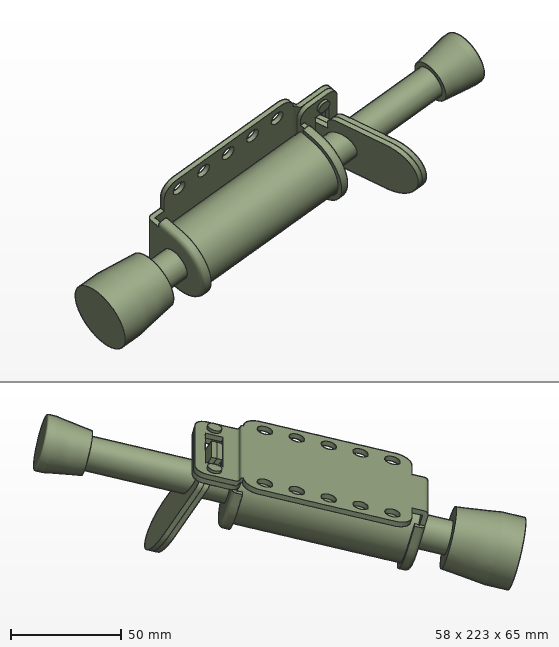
import cadquery as cq
import math


sheet = 2.5
bend_radius = 2.2
tube_radius = 16.0
axis_x = 19.0
rod_radius = 8.0

overall_length = 223.0
foot_radius = 17.0
foot_top_radius = 14.5
foot_rim_height = 11.0
foot_height = 32.0
head_radius = 13.2
head_neck_radius = 10.5
head_height = 21.6
head_rim_height = 4.2
head_round = 1.0

plate_bottom = 54.0
plate_top = 133.0
plate_width = 65.0
plate_corner = 7.8
hole_diameter = 7.1
hole_count = 5
hole_pitch = 15.0
hole_row_spacing = 50.2
hole_middle_y = 93.0

front_flange_radius = 18.7
rear_flange_radius = 19.0
rim_depth = 5.0
neck_width = 2 * tube_radius
front_face_y = 46.0
rear_face_y = 135.1
front_rim_start = 3 * sheet
rear_rim_start = 11.5

tab_width = 50.0
tab_corner = 5.8
tab_top = 155.0
jog_length = 2.7
rivet_radius = 3.3
rivet_head = 1.3
rivet_y = 146.0
rivet_spacing = 38.4
slot_bottom = 141.8
slot_top = 150.0
slot_width = 27.7

lever_count = 2
lever_thickness = 2.5
lever_tilt = 16.6
lever_end_x = 58.0
lever_width = 32.0
shoulder_x = 11.8
shoulder_round = 4.5
shank_width = 15.5
lever_root_y = 144.7

front_web_y = front_face_y + sheet
rear_web_y = rear_face_y - sheet
base_tab_x = sheet
guide_tab_x = 2 * sheet
tab_stack_end = 3 * sheet


def box(x_min, x_max, y_min, y_max, width):
    """Block between two X and two Y values, centred on Z = 0."""
    return (
        cq.Workplane("XY")
        .box(x_max - x_min, y_max - y_min, width, centered=(False, False, True))
        .translate((x_min, y_min, 0))
    )


def rod_along_y(radius, y_min, y_max):
    """Cylinder on the rod axis."""
    return (
        cq.Workplane("XZ", origin=(axis_x, y_min, 0))
        .circle(radius)
        .extrude(y_min - y_max)
    )


def rivet_shafts(x_min, x_max):
    """Pair of cylinders along X at the rivet places, for the rivets and their holes."""
    return (
        cq.Workplane("YZ", origin=(x_min, rivet_y, 0))
        .pushPoints([(0, -rivet_spacing / 2), (0, rivet_spacing / 2)])
        .circle(rivet_radius)
        .extrude(x_max - x_min)
    )


def lever_slot():
    return box(0, tab_stack_end, slot_bottom, slot_top, slot_width)


def d_block(start_x, radius, depth):
    """D-shaped block from Y = 0 to Y = depth: flat side at start_x, round side on the axis."""
    return (
        cq.Workplane("XZ")
        .moveTo(start_x, -radius)
        .lineTo(axis_x, -radius)
        .threePointArc((axis_x + radius, 0), (axis_x, radius))
        .lineTo(start_x, radius)
        .close()
        .extrude(-depth)
    )


def dished_flange(start_x, radius):
    """Dished end flange with its outer face at Y = 0 and its rim pointing to +Y."""
    flat_side = cq.selectors.BoxSelector(
        (start_x - sheet, -sheet / 2, -radius / 2),
        (start_x + sheet, sheet / 2, radius / 2),
    )
    outer_edges = cq.selectors.SubtractSelector(
        cq.selectors.StringSyntaxSelector("<Y"), flat_side
    )
    dish = d_block(start_x, radius, rim_depth).edges(outer_edges).fillet(bend_radius)
    hollow = d_block(start_x, radius - sheet, rim_depth).translate((0, sheet, 0))
    return dish.cut(hollow)


def mounting_plate():
    plate = box(0, sheet, plate_bottom, plate_top, plate_width)
    plate = plate.edges("|X").fillet(plate_corner)
    first_hole_y = hole_middle_y - hole_pitch * (hole_count - 1) / 2
    places = [
        (first_hole_y + i * hole_pitch, side * hole_row_spacing / 2)
        for i in range(hole_count)
        for side in (-1, 1)
    ]
    holes = cq.Workplane("YZ").pushPoints(places).circle(hole_diameter / 2).extrude(sheet)
    return plate.cut(holes)


def base_tab():
    """Rear tab of the base, stepped one sheet thickness off the plate by an S-bend."""
    jog_top = plate_top + jog_length
    jog_middle = plate_top + jog_length / 2
    tab = (
        cq.Workplane("XY", origin=(0, 0, -tab_width / 2))
        .moveTo(0, plate_top - sheet)
        .lineTo(sheet, plate_top - sheet)
        .lineTo(sheet, plate_top)
        .tangentArcPoint((sheet + base_tab_x / 2, jog_middle), relative=False)
        .tangentArcPoint((sheet + base_tab_x, jog_top), relative=False)
        .lineTo(sheet + base_tab_x, tab_top)
        .lineTo(base_tab_x, tab_top)
        .lineTo(base_tab_x, jog_top)
        .tangentArcPoint((base_tab_x / 2, jog_middle), relative=False)
        .tangentArcPoint((0, plate_top), relative=False)
        .close()
        .extrude(tab_width)
    )
    return tab.edges("|X and >Y").fillet(tab_corner)


def make_base():
    """Mounting plate with front flange, tube, rear tab and rivets."""
    neck_side = box(0, sheet, front_face_y, plate_bottom + plate_corner, neck_width)
    neck_web = box(0, front_rim_start, front_face_y, front_web_y, neck_width)
    neck = neck_side.union(neck_web).edges("<X and <Y").fillet(bend_radius)
    flange = dished_flange(front_rim_start, front_flange_radius).translate((0, front_face_y, 0))
    tube = rod_along_y(tube_radius, front_web_y, rear_web_y)
    rod_bore = rod_along_y(rod_radius, front_face_y, rear_web_y)
    rivets = rivet_shafts(base_tab_x - rivet_head, tab_stack_end + rivet_head)
    return (
        mounting_plate()
        .union(neck)
        .union(flange)
        .union(tube)
        .cut(rod_bore)
        .union(base_tab())
        .cut(lever_slot())
        .union(rivets)
    )


def make_guide():
    """Rear flange with a tab riveted onto the tab of the base."""
    tab = box(guide_tab_x, tab_stack_end, rear_web_y, tab_top, tab_width)
    tab = tab.edges("|X").fillet(tab_corner)
    neck = box(guide_tab_x, rear_rim_start, rear_web_y, rear_face_y, neck_width)
    flange = dished_flange(rear_rim_start, rear_flange_radius)
    flange = flange.mirror("XZ").translate((0, rear_face_y, 0))
    rod_bore = rod_along_y(rod_radius, rear_face_y - rim_depth, rear_face_y)
    return (
        tab.union(neck)
        .union(flange)
        .cut(rod_bore)
        .cut(lever_slot())
        .cut(rivet_shafts(guide_tab_x, tab_stack_end))
    )


def make_plunger():
    """Rod with a flared foot at the front and a smaller flared head at the rear."""
    head_start = overall_length - head_height
    plunger = (
        cq.Workplane("ZY")
        .polyline([
            (0, 0),
            (foot_radius, 0),
            (foot_radius, foot_rim_height),
            (foot_top_radius, foot_height),
            (rod_radius, foot_height),
            (rod_radius, head_start),
            (head_neck_radius, head_start),
            (head_radius, overall_length - head_rim_height),
            (head_radius, overall_length),
            (0, overall_length),
        ])
        .close()
        .revolve(360, (0, 0, 0), (0, 1, 0))
    )
    return plunger.faces(">Y").edges().fillet(head_round).translate((axis_x, 0, 0))


def make_lever(index):
    """Sloping slab trimmed along Y to a paddle with a shank that hooks into the slot."""
    root_x = base_tab_x
    rise = (lever_end_x - root_x) * math.tan(math.radians(lever_tilt))
    layer_height = lever_thickness / math.cos(math.radians(lever_tilt))
    root_bottom = lever_root_y + (index - lever_count / 2) * layer_height
    slab = (
        cq.Workplane("XY", origin=(0, 0, -lever_width / 2))
        .polyline([
            (root_x, root_bottom),
            (lever_end_x, root_bottom + rise),
            (lever_end_x, root_bottom + rise + layer_height),
            (root_x, root_bottom + layer_height),
        ])
        .close()
        .extrude(lever_width)
    )
    slab_top = root_bottom + rise + layer_height
    end_radius = lever_width / 2
    round_end_x = lever_end_x - end_radius
    paddle = box(shoulder_x, round_end_x, root_bottom, slab_top, lever_width)
    paddle = paddle.edges("|Y and <X").fillet(shoulder_round)
    round_end = (
        cq.Workplane("XZ", origin=(round_end_x, root_bottom, 0))
        .circle(end_radius)
        .extrude(root_bottom - slab_top)
    )
    shank = box(root_x, axis_x, root_bottom, slab_top, shank_width)
    outline = paddle.union(round_end).union(shank)
    return slab.intersect(outline).cut(rod_along_y(rod_radius, root_bottom, slab_top))


base = make_base()
guide = make_guide()
plunger = make_plunger()
levers = [make_lever(i).val() for i in range(lever_count)]

result = cq.Compound.makeCompound([base.val(), guide.val(), plunger.val(), *levers])